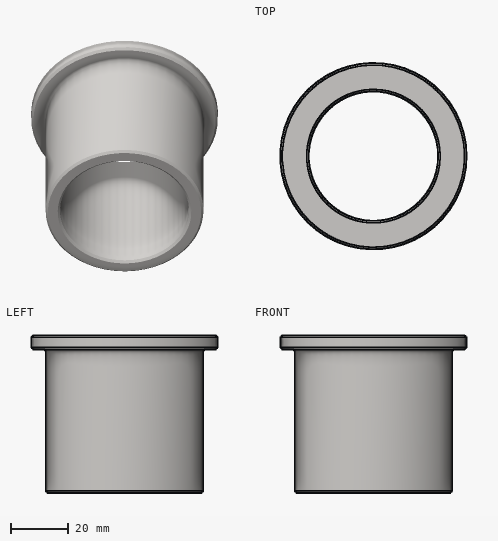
import cadquery as cq

flange_diameter = 65.0
sleeve_diameter = 55.0
bore_diameter = 45.0
total_height = 55.0
flange_thickness = 5.0

edge_chamfer = 0.8
neck_fillet = 0.8

flange_radius = flange_diameter / 2
sleeve_radius = sleeve_diameter / 2
bore_radius = bore_diameter / 2
flange_bottom = total_height - flange_thickness


def half_section():
    """Half of the bushing's cross-section, with radius along X and height along Y."""
    return (
        cq.Workplane("XZ")
        .moveTo(bore_radius + edge_chamfer, 0)
        .lineTo(sleeve_radius - edge_chamfer, 0)
        .lineTo(sleeve_radius, edge_chamfer)
        .lineTo(sleeve_radius, flange_bottom - neck_fillet)
        .tangentArcPoint((sleeve_radius + neck_fillet, flange_bottom), relative=False)
        .lineTo(flange_radius - edge_chamfer, flange_bottom)
        .lineTo(flange_radius, flange_bottom + edge_chamfer)
        .lineTo(flange_radius, total_height - edge_chamfer)
        .lineTo(flange_radius - edge_chamfer, total_height)
        .lineTo(bore_radius + edge_chamfer, total_height)
        .lineTo(bore_radius, total_height - edge_chamfer)
        .lineTo(bore_radius, edge_chamfer)
        .close()
    )


result = half_section().revolve(360, (0, 0, 0), (0, 1, 0))